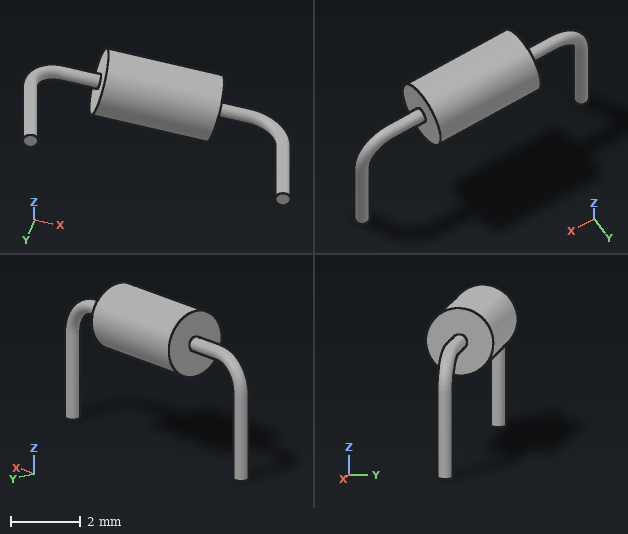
import cadquery as cq

overall_length = 8.07
overall_height = 4.6
body_diameter = 2.0
body_length = 3.495
lead_diameter = 0.45
bend_radius = 1.0

leg_x = (overall_length - lead_diameter) / 2
leg_tip_z = body_diameter / 2 - overall_height
bend_start_x = leg_x - bend_radius


def make_body():
    """Cylinder centred on the origin, lying along X."""
    return (
        cq.Workplane("YZ", origin=(-body_length / 2, 0, 0))
        .circle(body_diameter / 2)
        .extrude(body_length)
    )


def make_lead():
    """Round wire from the body centre out along +X, bent down to its tip."""
    centreline = (
        cq.Workplane("XZ")
        .lineTo(bend_start_x, 0)
        .tangentArcPoint((leg_x, -bend_radius), relative=False)
        .lineTo(leg_x, leg_tip_z)
    )
    return cq.Workplane("YZ").circle(lead_diameter / 2).sweep(centreline)


right_lead = make_lead()
left_lead = right_lead.mirror("YZ")
result = make_body().union(right_lead).union(left_lead)